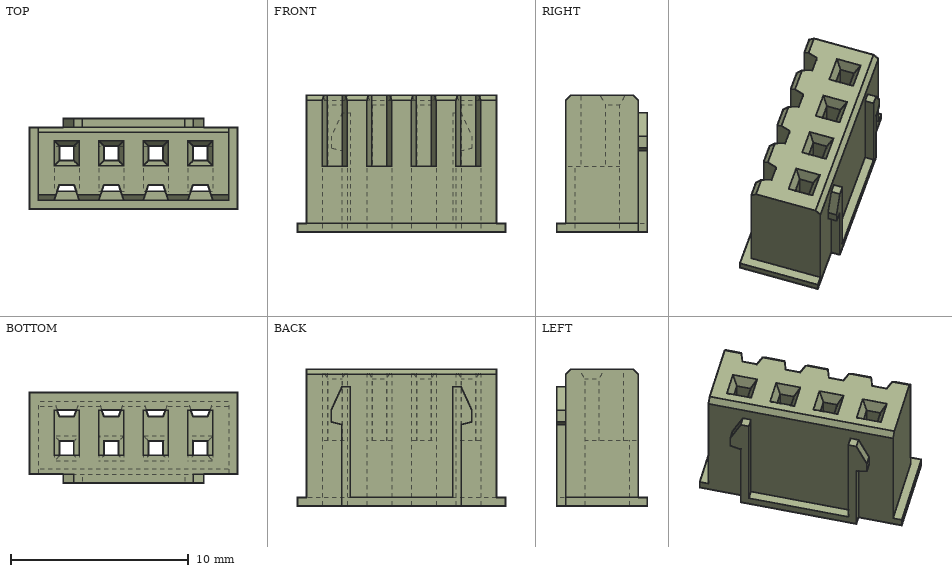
import cadquery as cq

length = 11.7
height = 7.7
overall_depth = 5.1
flange_thickness = 0.49
flange_lip = 0.5
latch_depth = 0.5
edge_chamfer = 0.29
body_length = length - 2 * flange_lip
body_back = overall_depth - latch_depth
body_depth = body_back - flange_lip

contact_count = 4
pitch = 2.5
contact_y = 3.14
funnel_mouth = 1.4
pin_hole = 0.8
funnel_depth = 0.54

slot_mouth = 1.4
slot_back = 0.83
slot_depth = 0.84
slot_floor = 3.72
cell_front = 1.01
cell_back = contact_y + pin_hole / 2

rib_inner = 2.88
rib_outer = 3.35
hook_outer = 3.95
latch_top = 6.72
hook_shoulder = 5.39
hook_lower = 4.74
hook_root = 4.59


def box(width, depth, tall, front, bottom=0.0):
    """Box centred on X, starting at the given Y and Z."""
    solid = cq.Workplane("XY").box(width, depth, tall, centered=(True, False, False))
    return solid.translate((0, front, bottom))


def housing():
    block = box(body_length, body_depth, height, flange_lip)
    block = block.faces(">Z").edges("|X").chamfer(edge_chamfer)
    return block.union(box(length, body_back, flange_thickness, 0))


def latch():
    """Two ribs with outward hooks, joined by a bar at the foot."""
    profile = [
        (rib_inner, 0),
        (rib_outer, 0),
        (rib_outer, hook_root),
        (hook_outer, hook_lower),
        (hook_outer, hook_shoulder),
        (rib_outer, latch_top),
        (rib_inner, latch_top),
    ]
    rib = cq.Workplane("XZ", origin=(0, body_back, 0)).polyline(profile).close().extrude(-latch_depth)
    bar = box(2 * rib_inner, latch_depth, flange_thickness, body_back)
    return bar.union(rib).union(rib.mirror("YZ"))


def contact_cut():
    """Pin hole with its lead-in funnel, tapered front slot and lower cell."""
    hole = box(pin_hole, pin_hole, height, contact_y - pin_hole / 2)
    funnel = (
        cq.Workplane("XY", origin=(0, contact_y, height - funnel_depth))
        .rect(pin_hole, pin_hole)
        .workplane(offset=funnel_depth)
        .rect(funnel_mouth, funnel_mouth)
        .loft()
    )
    slot_outline = [
        (-slot_mouth / 2, flange_lip),
        (slot_mouth / 2, flange_lip),
        (slot_back / 2, flange_lip + slot_depth),
        (-slot_back / 2, flange_lip + slot_depth),
    ]
    slot = (
        cq.Workplane("XY", origin=(0, 0, slot_floor))
        .polyline(slot_outline)
        .close()
        .extrude(height - slot_floor)
    )
    cell = box(slot_mouth, cell_back - cell_front, slot_floor, cell_front)
    return hole.union(funnel).union(slot).union(cell)


result = housing().union(latch())
cutter = contact_cut()
for index in range(contact_count):
    contact_x = (index - (contact_count - 1) / 2) * pitch
    result = result.cut(cutter.translate((contact_x, 0, 0)))